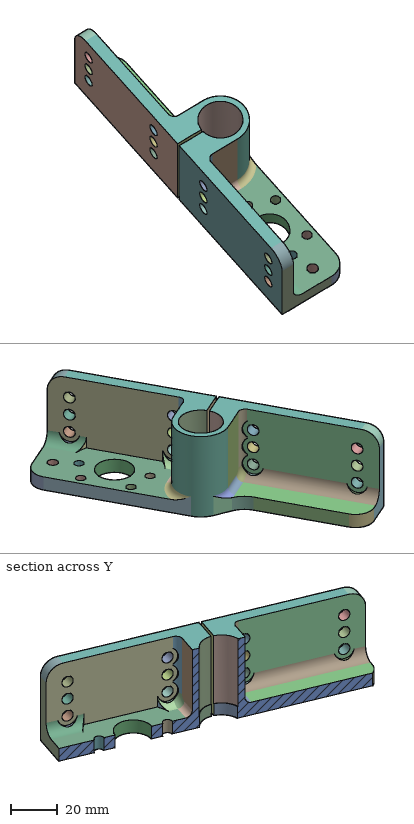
import cadquery as cq
import math

length = 150.0
height = 40.0
middle = length / 2

plate_thickness = 6.0
shelf_thickness = 6.6
plate_corner_radius = 8.0
shelf_corner_radius = 8.4
narrow_depth = 21.3
inner_fillet = 5.2

boss_radius = 12.5
boss_y = 22.2
bore_diameter = 19.2
bore_lip_diameter = 18.9
bore_lip_height = 6.0
slit_width = 1.2
boss_fillet = 3.0
neck_radius = 12.0
neck_angle = math.radians(45)
depth = boss_y + boss_radius

screw_diameter = 5.2
screw_clearance_diameter = 9.5
screw_inset = 10.0
screw_pitch_x = 47.0
screw_pitch_z = 8.5
screw_middle_z = 21.6

motor_x = 115.0
motor_y = 19.0
motor_hole_diameter = 17.1
motor_clearance_diameter = 43.2
motor_screw_circle = 16.0
motor_screw_diameter = 4.4
motor_screw_angles = (0, 45, 135, 180)
extra_hole_x = 141.9
extra_hole_y = 22.0
extra_hole_diameter = 4.8

stock_depth = depth + 15.0


def block(x0, x1, y0, y1, z0, z1):
    corner = cq.Workplane("XY", origin=(x0, y0, z0))
    return corner.box(x1 - x0, y1 - y0, z1 - z0, centered=False)


def upright_cylinder(x, y, diameter, bottom=0):
    base = cq.Workplane("XY", origin=(x, y, bottom))
    return base.circle(diameter / 2).extrude(height - bottom)


def boss_root_edges():
    """Selects the edges where the boss meets the shelf, the plate and their inside fillet."""
    margin = 0.2
    left = middle - boss_radius - margin
    right = middle + boss_radius + margin
    plate_side = cq.selectors.BoxSelector(
        (left, plate_thickness - margin, shelf_thickness - margin),
        (right, plate_thickness + inner_fillet, height - margin),
    )
    shelf_side = cq.selectors.BoxSelector(
        (left, plate_thickness, shelf_thickness - margin),
        (right, stock_depth, shelf_thickness + margin),
    )
    return plate_side + shelf_side


def filleted_stock():
    """Plate, oversize shelf and boss, with the inside corners rounded."""
    plate = block(0, length, 0, plate_thickness, 0, height)
    shelf = block(0, length, 0, stock_depth, 0, shelf_thickness)
    bracket = plate.union(shelf)
    inside_corner = cq.selectors.NearestToPointSelector((middle, plate_thickness, shelf_thickness))
    bracket = bracket.edges(inside_corner).fillet(inner_fillet)

    stem = block(middle - boss_radius, middle + boss_radius, 0, boss_y, 0, height)
    boss = stem.union(upright_cylinder(middle, boss_y, 2 * boss_radius))
    body = bracket.union(boss)
    return body.edges(boss_root_edges()).fillet(boss_fillet)


def plan_outline():
    """Outline seen along Z: narrow shelf, 45 degree neck, boss, wide shelf."""
    diagonal = math.cos(neck_angle)
    half_sine = math.sin(neck_angle / 2)
    half_cosine = math.cos(neck_angle / 2)

    neck_top = (middle - boss_radius * diagonal, boss_y + boss_radius * diagonal)
    boss_middle = (middle - boss_radius * half_sine, boss_y + boss_radius * half_cosine)

    neck_foot_x = neck_top[0] - (neck_top[1] - narrow_depth)
    setback = neck_radius * math.tan(neck_angle / 2)
    neck_start = (neck_foot_x - setback, narrow_depth)
    neck_middle = (
        neck_start[0] + neck_radius * half_sine,
        narrow_depth + neck_radius * (1 - half_cosine),
    )
    neck_end = (neck_foot_x + setback * diagonal, narrow_depth + setback * diagonal)

    bend = shelf_corner_radius * (1 - math.sqrt(0.5))
    return (
        cq.Workplane("XY")
        .lineTo(0, narrow_depth - shelf_corner_radius)
        .threePointArc((bend, narrow_depth - bend), (shelf_corner_radius, narrow_depth))
        .lineTo(*neck_start)
        .threePointArc(neck_middle, neck_end)
        .lineTo(*neck_top)
        .threePointArc(boss_middle, (middle, depth))
        .lineTo(length - shelf_corner_radius, depth)
        .threePointArc((length - bend, depth - bend), (length, depth - shelf_corner_radius))
        .lineTo(length, 0)
        .close()
        .extrude(height)
    )


def front_outline():
    """Outline seen along Y: a rectangle with rounded upper corners."""
    return block(0, length, 0, depth, 0, height).edges("|Y and >Z").fillet(plate_corner_radius)


def clamp_cuts():
    """Bore with a slightly narrower lip at the bottom, and the slit that opens it to the front."""
    bore = upright_cylinder(middle, boss_y, bore_diameter, bore_lip_height)
    lip = upright_cylinder(middle, boss_y, bore_lip_diameter)
    slit = block(middle - slit_width / 2, middle + slit_width / 2, 0, boss_y, 0, height)
    return bore.union(lip).union(slit)


def screw_cylinders(diameter, y0, y1):
    """Cylinders from y0 to y1 at four columns of three screws, mirrored about the middle."""
    columns = (screw_inset, screw_inset + screw_pitch_x)
    xs = columns + tuple(length - x for x in columns)
    points = [(x, screw_middle_z + row * screw_pitch_z) for x in xs for row in (-1, 0, 1)]
    start = cq.Workplane("XZ", origin=(0, y0, 0))
    return start.pushPoints(points).circle(diameter / 2).extrude(y0 - y1)


def motor_mount_cuts():
    """Holes through the wide shelf, and room above it for the round motor body."""
    cuts = upright_cylinder(motor_x, motor_y, motor_hole_diameter)
    for angle in motor_screw_angles:
        x = motor_x + motor_screw_circle * math.cos(math.radians(angle))
        y = motor_y + motor_screw_circle * math.sin(math.radians(angle))
        cuts = cuts.union(upright_cylinder(x, y, motor_screw_diameter))
    cuts = cuts.union(upright_cylinder(extra_hole_x, extra_hole_y, extra_hole_diameter))
    body_space = upright_cylinder(motor_x, motor_y, motor_clearance_diameter)
    above_shelf = block(middle, length, plate_thickness, depth, shelf_thickness, height)
    return cuts.union(body_space.intersect(above_shelf))


result = filleted_stock().intersect(plan_outline()).intersect(front_outline())
result = result.cut(clamp_cuts())
result = result.cut(screw_cylinders(screw_diameter, 0, plate_thickness))
result = result.cut(screw_cylinders(screw_clearance_diameter, plate_thickness, depth))
result = result.cut(motor_mount_cuts())